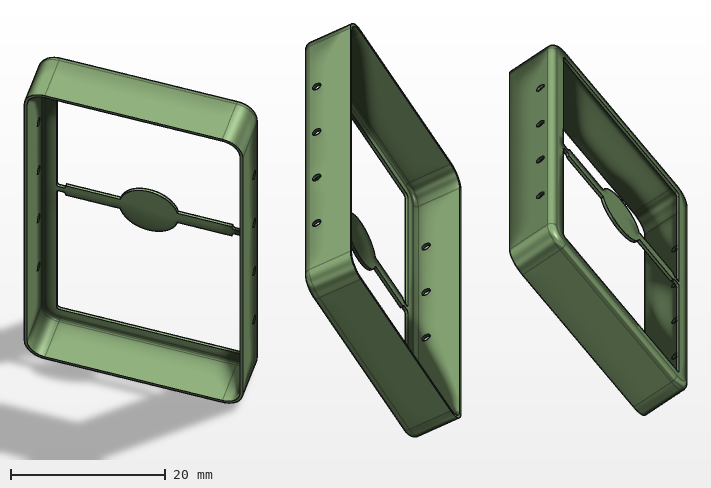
import cadquery as cq

width = 29.6
depth = 7.0
height = 54.6
wall = 0.4
corner_radius = 2.8
inner_edge_radius = 0.5
outer_edge_radius = inner_edge_radius + wall

border = 2.3
window_corner_radius = 0.5
disc_radius = 4.0
bar_height = 1.9
neck_height = 0.9
neck_length = 1.25
neck_corner_radius = 0.4

hole_diameter = 1.2
hole_pitch = 10.0
hole_count = 4
hole_from_back = 2.0

back = depth / 2
opening_width = width - 2 * border
opening_height = height - 2 * border


def block(size_x, size_z, front_y, back_y):
    """Box centred on X and Z, running from front_y to back_y."""
    box = cq.Workplane("XY").box(size_x, back_y - front_y, size_z)
    return box.translate((0, (front_y + back_y) / 2, 0))


def floor_cylinder(x, z, radius):
    """Disc along Y, as thick as the floor."""
    return cq.Workplane("XZ", origin=(x, back, z)).circle(radius).extrude(wall)


def make_tray():
    outer = block(width, height, -back, back).edges("|Y").fillet(corner_radius)
    outer = outer.faces(">Y").edges().fillet(outer_edge_radius)
    cavity = block(width - 2 * wall, height - 2 * wall, -back, back - wall)
    cavity = cavity.edges("|Y").fillet(corner_radius - wall)
    cavity = cavity.faces(">Y").edges().fillet(inner_edge_radius)
    return outer.cut(cavity)


def make_window(side):
    """Cutter for the upper (side = 1) or lower (side = -1) half of the opening."""
    floor_front = back - wall
    window_height = (opening_height - neck_height) / 2
    window_center = side * (opening_height + neck_height) / 4
    window = block(opening_width, window_height, floor_front, back).translate((0, 0, window_center))
    outer_corners = ">Z" if side > 0 else "<Z"
    neck_corners = "<Z" if side > 0 else ">Z"
    window = window.faces(outer_corners).edges("|Y").fillet(window_corner_radius)
    window = window.faces(neck_corners).edges("|Y").fillet(neck_corner_radius)

    bar_length = opening_width - 2 * neck_length
    bar = block(bar_length, bar_height, floor_front, back)
    for end in (-1, 1):
        web = block(neck_corner_radius, neck_height + 2 * neck_corner_radius, floor_front, back)
        web = web.translate((end * (bar_length + neck_corner_radius) / 2, 0, 0))
        for level in (-1, 1):
            round_z = level * (neck_height / 2 + neck_corner_radius)
            round_x = end * (bar_length / 2 + neck_corner_radius)
            web = web.cut(floor_cylinder(round_x, round_z, neck_corner_radius))
        bar = bar.union(web)
    disc = floor_cylinder(0, 0, disc_radius)
    return window.cut(bar).cut(disc)


def make_side_holes():
    hole_y = back - hole_from_back
    first_z = -hole_pitch * (hole_count - 1) / 2
    centers = [(hole_y, first_z + i * hole_pitch) for i in range(hole_count)]
    drill = cq.Workplane("YZ").pushPoints(centers).circle(hole_diameter / 2)
    return drill.extrude(width / 2, both=True)


result = make_tray()
for window_side in (-1, 1):
    result = result.cut(make_window(window_side))
result = result.cut(make_side_holes())